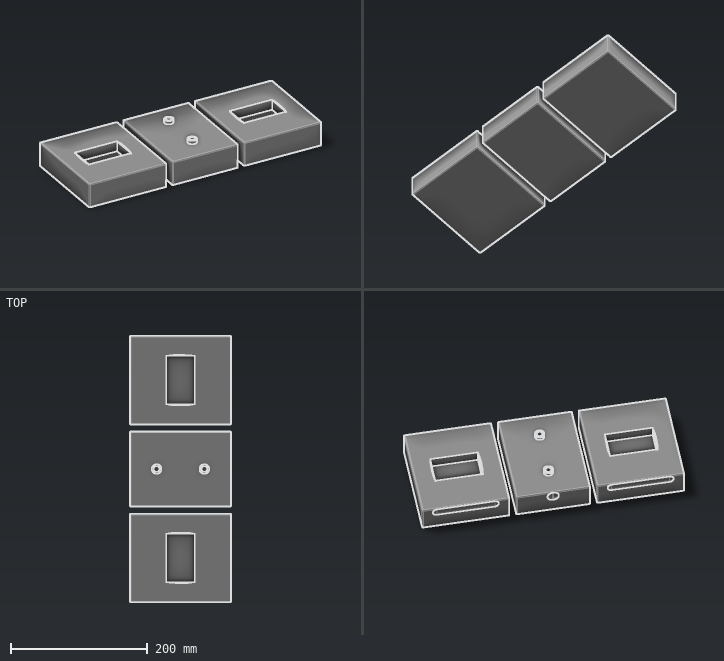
import cadquery as cq
import math

row_length = 390.0
block_width = 148.0
block_height = 39.8
tray_length = 130.0
post_block_length = 110.0
tray_center_y = (row_length - tray_length) / 2
edge_radius = 1.45

pocket_width = 42.0
pocket_length = 71.0
pocket_depth = 16.8
scoop_width = 34.5
scoop_reach = 1.5
scoop_depth = 0.5

groove_height = 12.0
groove_depth = 2.0
groove_length = 98.3
groove_center_z = 31.5

dimple_length = 17.0
dimple_height = 15.5
dimple_depth = 3.0
dimple_center_z = 30.5

total_height = 45.2
post_height = total_height - block_height
post_spacing = 70.0
post_diameter = 14.0
post_bore_diameter = 8.5
post_bore_depth = 10.0


def rounded_block(length):
    """Block standing on Z = 0, with every edge rounded."""
    block = cq.Workplane("XY").box(block_width, length, block_height, centered=(True, True, False))
    return block.edges().fillet(edge_radius)


def pocket_cutter():
    """Rectangular pocket, widened at the rim by a shallow half-ellipse beyond each end."""
    pocket = (
        cq.Workplane("XY")
        .workplane(offset=block_height - pocket_depth)
        .rect(pocket_width, pocket_length)
        .extrude(pocket_depth)
    )
    scoops = (
        cq.Workplane("XY")
        .workplane(offset=block_height - scoop_depth)
        .pushPoints([(0, -pocket_length / 2), (0, pocket_length / 2)])
        .ellipse(scoop_width / 2, scoop_reach)
        .extrude(scoop_depth)
    )
    return pocket.union(scoops)


def sunk_capsule(length, height, depth, center_z):
    """Capsule along Y that opens in the -X face with the given length and height, and sinks in by depth."""
    radius = ((height / 2) ** 2 + depth**2) / (2 * depth)
    half_straight = (length - height) / 2
    half_total = half_straight + radius
    bend = radius * math.sin(math.radians(45))
    return (
        cq.Workplane("XY")
        .moveTo(0, -half_total)
        .threePointArc((bend, -half_straight - bend), (radius, -half_straight))
        .lineTo(radius, half_straight)
        .threePointArc((bend, half_straight + bend), (0, half_total))
        .close()
        .revolve(360, (0, 0), (0, 1))
        .translate((-block_width / 2 + depth - radius, 0, center_z))
    )


def tray(center_y):
    """Block with a pocket in its top and a grip groove in its -X side."""
    groove = sunk_capsule(groove_length, groove_height, groove_depth, groove_center_z)
    body = rounded_block(tray_length).cut(pocket_cutter()).cut(groove)
    return body.translate((0, center_y, 0))


def post_block():
    """Block with a dimple in its -X side and two hollow posts on top."""
    dimple = sunk_capsule(dimple_length, dimple_height, dimple_depth, dimple_center_z)
    post_places = [(-post_spacing / 2, 0), (post_spacing / 2, 0)]
    posts = (
        cq.Workplane("XY")
        .workplane(offset=block_height)
        .pushPoints(post_places)
        .circle(post_diameter / 2)
        .extrude(post_height)
    )
    bores = (
        cq.Workplane("XY")
        .workplane(offset=total_height - post_bore_depth)
        .pushPoints(post_places)
        .circle(post_bore_diameter / 2)
        .extrude(post_bore_depth)
    )
    return rounded_block(post_block_length).cut(dimple).union(posts).cut(bores)


trays = [tray(side * tray_center_y) for side in (-1, 1)]
middle = post_block()
result = cq.Compound.makeCompound([*[body.val() for body in trays], middle.val()])